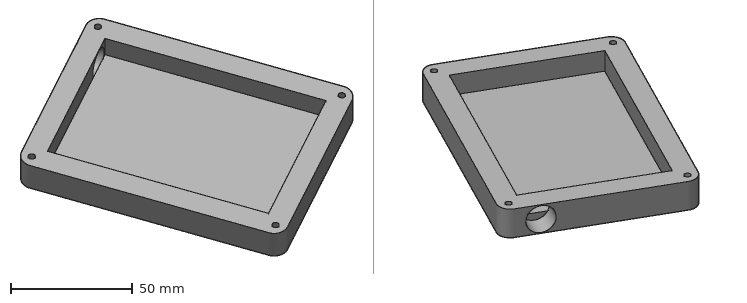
import cadquery as cq

length = 117.6
width = 87.0
height = 14.0
corner_radius = 6.0

rim_width = 10.0
floor_thickness = 4.0

screw_hole_diameter = 2.9
screw_hole_inset = 4.9

cable_hole_diameter = 13.0
cable_hole_y = 26.0


def make_block():
    block = cq.Workplane("XY").box(length, width, height, centered=(True, True, False))
    return block.edges("|Z").fillet(corner_radius)


def make_pocket():
    pocket = cq.Workplane("XY").workplane(offset=floor_thickness)
    return pocket.rect(length - 2 * rim_width, width - 2 * rim_width).extrude(height)


def make_screw_holes():
    spacing_x = length - 2 * screw_hole_inset
    spacing_y = width - 2 * screw_hole_inset
    centers = cq.Workplane("XY").rect(spacing_x, spacing_y, forConstruction=True).vertices()
    return centers.circle(screw_hole_diameter / 2).extrude(height)


def make_cable_hole():
    outer_wall = cq.Workplane("YZ", origin=(-length / 2, cable_hole_y, height / 2))
    return outer_wall.circle(cable_hole_diameter / 2).extrude(rim_width)


result = make_block().cut(make_pocket()).cut(make_screw_holes()).cut(make_cable_hole())